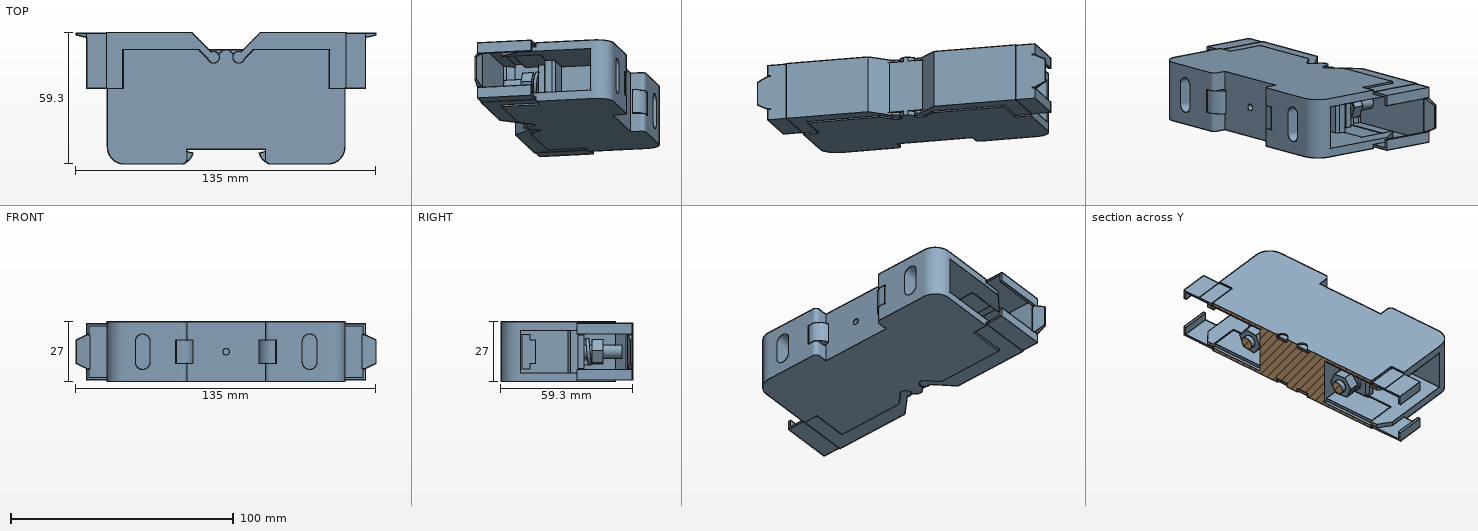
import cadquery as cq


HOUSING_HALF_LENGTH = 53.5
HOUSING_TOP = 51.5
HOUSING_WIDTH = 27.0
HOUSING_CORNER_RADIUS = 7.7

RAIL_HALF_LENGTH = 17.7
RAIL_DEPTH = 6.6
RAIL_EDGE_RADIUS = 2.0
HOOK_REACH = 2.8
HOOK_TOP = 5.7
HOOK_TIP_Y = 5.0
HOOK_NOSE = (-16.5, 2.0)
HOOK_FACE = 0.1
HOOK_WIDTH = 10.5
HOOK_WINDOW_X = -22.7
HOOK_WINDOW_DEPTH = 2.7
HOOK_GAP = 0.4

SLOT_X = -37.5
SLOT_WIDTH = 6.6
SLOT_LENGTH = 15.9
CENTRE_HOLE_DIAMETER = 3.0
CENTRE_HOLE_DEPTH = 4.0

CAVITY_END = -18.9
CAVITY_FLOOR = 8.8
CAVITY_WIDTH = 19.2
POCKET_START = -45.6
LOWER_POCKET_Y = 33.8
LOWER_POCKET_WIDTH = 20.2
UPPER_POCKET_Y = 46.7
CLIP_RECESS_DEPTH = 0.7
CLIP_BASE_Y = 9.3
CLIP_SHOULDER_Y = 13.0
CLIP_TOP_Y = 15.4
CLIP_BASE_WIDTH = 15.5

TERMINAL_X = -26.3
LEDGE_START = -33.1
LEDGE_TOP = 34.4
LEDGE_NOSE = 31.2
LEDGE_BOTTOM = 30.0
LEDGE_SLOPE_LENGTH = 1.4
PLATE_TOP = 37.3
PLATE_OVERHANG = 0.7
PLATE_WIDTH = 15.1
STUD_DIAMETER = 6.0
STUD_TOP = 54.4
WASHER_DIAMETER = 11.9
WASHER_BOTTOM = 38.5
WASHER_THICKNESS = 1.5
WASHER_TILT = 5.0
WASHER_END_LENGTH = 2.3
NUT_BOTTOM = 40.9
NUT_TOP = 45.8
NUT_ACROSS_CORNERS = 11.9
NUT_TURN = 6.0

COVER_WIDTH = 25.6
COVER_WALL = 1.2
COVER_TOP = 59.3
COVER_BOTTOM = 34.0
COVER_ROOF_INNER = 57.2
RAMP_INNER_TOP = 56.0
COVER_LEG_INNER_X = -46.6
COVER_ARM_START = -53.9
COVER_ARM_END = -15.5
COVER_RAMP_INNER_X = -12.2
BOX_START = -62.8
BOX_TOP = 58.9
BOX_WIDTH = 25.4
WINDOW_WIDTH = 15.8
HINGE_X = -5.7
HINGE_Y = 48.0
HINGE_RADIUS = 2.63

TAB_TIP_X = -67.5
TAB_ROOT_X = -62.4
TAB_END_X = -61.2
TAB_TIP_THICKNESS = 0.8
TAB_ROOT_THICKNESS = 2.0
TAB_TIP_WIDTH = 10.5
TAB_ROOT_WIDTH = 15.1

RECESS_PLANE = COVER_WIDTH / 2 - COVER_WALL
RECESS_GAP = 0.4
RECESS_RAMP_GAP = 0.3
MOUTH_EDGE_X = -1.1
MOUTH_CORNER_Y = 49.7
LEG_CHAMFER_Y = 42.3
CLEARANCE = 1.4


def box(x0, x1, y0, y1, width):
    """Block between two X and two Y values, centred on Z = 0."""
    return cq.Workplane("XY").box(x1 - x0, y1 - y0, width).translate(((x0 + x1) / 2, (y0 + y1) / 2, 0))


def prism(points, width):
    """Polygon in XY extruded symmetrically along Z."""
    return cq.Workplane("XY").polyline(points).close().extrude(width / 2, both=True)


def upright_cylinder(x, y0, y1, diameter):
    """Cylinder along Y, centred on Z = 0."""
    return cq.Workplane("XZ", origin=(x, y0, 0)).circle(diameter / 2).extrude(y0 - y1)


def mirrored(shape):
    return shape.mirror("YZ")


def cut_both(body, tool):
    return body.cut(tool).cut(mirrored(tool))


def join_both(body, addition):
    return body.union(addition).union(mirrored(addition))


def ramp_y(x, crossing_x):
    """Y on the 45-degree line that meets the housing top at crossing_x."""
    return HOUSING_TOP + crossing_x - x


RAMP_OUTER_X = COVER_ARM_END + COVER_TOP - HOUSING_TOP
RAMP_INNER_FOOT = (HINGE_X - HINGE_Y + HOUSING_TOP + COVER_RAMP_INNER_X) / 2
RAMP_OUTER_FOOT = (HINGE_X - HINGE_Y + HOUSING_TOP + RAMP_OUTER_X) / 2


def hinge_arm(gap, width):
    """Sloping arm below the housing top, ending in a round hinge knuckle."""
    inner_x = RAMP_INNER_FOOT - gap / 2
    arm = prism(
        [
            (RAMP_OUTER_X, HOUSING_TOP),
            (COVER_RAMP_INNER_X - gap, HOUSING_TOP),
            (inner_x, ramp_y(inner_x, COVER_RAMP_INNER_X - gap)),
            (RAMP_OUTER_FOOT, ramp_y(RAMP_OUTER_FOOT, RAMP_OUTER_X)),
        ],
        width,
    )
    knuckle = cq.Workplane("XY").center(HINGE_X, HINGE_Y).circle(HINGE_RADIUS).extrude(width / 2, both=True)
    return arm.union(knuckle)


def housing_block():
    block = box(-HOUSING_HALF_LENGTH, HOUSING_HALF_LENGTH, 0, HOUSING_TOP, HOUSING_WIDTH)
    block = block.edges("|Z and <Y").fillet(HOUSING_CORNER_RADIUS)
    channel = box(-RAIL_HALF_LENGTH, RAIL_HALF_LENGTH, -CLEARANCE, RAIL_DEPTH, HOUSING_WIDTH)
    channel_mouth = cq.selectors.BoxSelector(
        (-RAIL_HALF_LENGTH - CLEARANCE, -CLEARANCE, -HOUSING_WIDTH),
        (RAIL_HALF_LENGTH + CLEARANCE, CLEARANCE, HOUSING_WIDTH),
    )
    return block.cut(channel).edges("|Z").edges(channel_mouth).fillet(RAIL_EDGE_RADIUS)


def hook_window():
    """Opening in the mounting face that a hook fills, apart from a gap at its outer end."""
    return box(HOOK_WINDOW_X, -RAIL_HALF_LENGTH + CLEARANCE, -CLEARANCE, HOOK_WINDOW_DEPTH, HOOK_WIDTH)


def rail_hook():
    outer_end = HOOK_WINDOW_X + HOOK_GAP
    return (
        cq.Workplane("XY")
        .moveTo(outer_end, HOOK_TOP)
        .lineTo(-RAIL_HALF_LENGTH, HOOK_TOP)
        .lineTo(HOOK_REACH - RAIL_HALF_LENGTH, HOOK_TIP_Y)
        .threePointArc(HOOK_NOSE, (-RAIL_HALF_LENGTH - RAIL_EDGE_RADIUS, HOOK_FACE))
        .lineTo(outer_end, HOOK_FACE)
        .close()
        .extrude(HOOK_WIDTH / 2, both=True)
    )


def mounting_slot():
    return (
        cq.Workplane("XZ", origin=(SLOT_X, 0, 0))
        .slot2D(SLOT_LENGTH, SLOT_WIDTH, 90)
        .extrude(-CAVITY_FLOOR - CLEARANCE)
    )


def end_cavity():
    start = -HOUSING_HALF_LENGTH - CLEARANCE
    top = HOUSING_TOP + CLEARANCE
    cavity = box(start, CAVITY_END, CAVITY_FLOOR, top, CAVITY_WIDTH)
    lower_pocket = box(POCKET_START, CAVITY_END, LOWER_POCKET_Y, top, LOWER_POCKET_WIDTH)
    upper_pocket = box(POCKET_START, CAVITY_END, UPPER_POCKET_Y, top, 2 * RECESS_PLANE)
    recess_end = CAVITY_END + CLIP_RECESS_DEPTH
    clip_base = box(CAVITY_END, recess_end, CLIP_BASE_Y, CLIP_SHOULDER_Y, CLIP_BASE_WIDTH)
    clip_tongue = box(CAVITY_END, recess_end, CLIP_SHOULDER_Y, CLIP_TOP_Y, HOOK_WIDTH)
    return cavity.union(lower_pocket).union(upper_pocket).union(clip_base).union(clip_tongue)


def side_recess():
    """Room for one cover's walls in both sides of the housing."""
    depth_keeper = box(-HOUSING_HALF_LENGTH, 0, 0, HOUSING_TOP, 2 * RECESS_PLANE)
    tool_width = HOUSING_WIDTH + CLEARANCE
    leg = box(
        -HOUSING_HALF_LENGTH - CLEARANCE,
        COVER_LEG_INNER_X + RECESS_GAP,
        COVER_BOTTOM,
        HOUSING_TOP + CLEARANCE,
        tool_width,
    )
    mouth = prism(
        [
            (RAMP_OUTER_X, HOUSING_TOP),
            (MOUTH_EDGE_X, HOUSING_TOP),
            (HINGE_X + HINGE_RADIUS, MOUTH_CORNER_Y),
            (HINGE_X, HINGE_Y),
        ],
        tool_width,
    )
    return leg.union(hinge_arm(RECESS_RAMP_GAP, tool_width)).union(mouth).cut(depth_keeper)


def wall_corner():
    """Sloped corner removed from the end walls inside a cover."""
    return prism(
        [
            (-HOUSING_HALF_LENGTH, LEG_CHAMFER_Y),
            (-HOUSING_HALF_LENGTH, HOUSING_TOP),
            (COVER_LEG_INNER_X, HOUSING_TOP),
        ],
        HOUSING_WIDTH,
    )


def terminal():
    """Ledge across the cavity with its plate, stud, spring washer and nut."""
    ledge = prism(
        [
            (LEDGE_START, LEDGE_TOP),
            (LEDGE_START, LEDGE_NOSE),
            (LEDGE_START + LEDGE_SLOPE_LENGTH, LEDGE_BOTTOM),
            (CAVITY_END, LEDGE_BOTTOM),
            (CAVITY_END, LEDGE_TOP),
        ],
        LOWER_POCKET_WIDTH,
    )
    plate = box(LEDGE_START - PLATE_OVERHANG, CAVITY_END, LEDGE_TOP, PLATE_TOP, PLATE_WIDTH)
    stud = upright_cylinder(TERMINAL_X, PLATE_TOP, STUD_TOP, STUD_DIAMETER)
    washer_middle_y = WASHER_BOTTOM + WASHER_THICKNESS / 2
    washer = upright_cylinder(TERMINAL_X, WASHER_BOTTOM, WASHER_BOTTOM + WASHER_THICKNESS, WASHER_DIAMETER)
    washer = washer.rotate((0, washer_middle_y, 0), (1, washer_middle_y, 0), WASHER_TILT)
    washer_end = box(
        TERMINAL_X - WASHER_END_LENGTH / 2,
        TERMINAL_X + WASHER_END_LENGTH / 2,
        PLATE_TOP,
        washer_middle_y,
        WASHER_END_LENGTH,
    ).translate((0, 0, (WASHER_END_LENGTH - WASHER_DIAMETER) / 2))
    nut = (
        cq.Workplane("XZ", origin=(TERMINAL_X, NUT_BOTTOM, 0))
        .polygon(6, NUT_ACROSS_CORNERS)
        .extrude(NUT_BOTTOM - NUT_TOP)
        .rotate((TERMINAL_X, 0, 0), (TERMINAL_X, 1, 0), NUT_TURN)
    )
    return ledge.union(plate).union(stud).union(washer).union(washer_end).union(nut)


def make_housing():
    body = housing_block()
    for tool in (hook_window(), mounting_slot(), end_cavity(), side_recess(), wall_corner()):
        body = cut_both(body, tool)
    for addition in (rail_hook(), terminal()):
        body = join_both(body, addition)
    return body.cut(upright_cylinder(0, 0, RAIL_DEPTH + CENTRE_HOLE_DEPTH, CENTRE_HOLE_DIAMETER))


def pull_tab():
    """Tapered tab at the open end of the cover, flush with the box top."""
    profile = prism(
        [
            (TAB_TIP_X, BOX_TOP),
            (TAB_TIP_X, BOX_TOP - TAB_TIP_THICKNESS),
            (TAB_ROOT_X, BOX_TOP - TAB_ROOT_THICKNESS),
            (TAB_END_X, BOX_TOP - TAB_ROOT_THICKNESS),
            (TAB_END_X, BOX_TOP),
        ],
        TAB_ROOT_WIDTH,
    )
    outline = (
        cq.Workplane("XZ")
        .polyline(
            [
                (TAB_TIP_X, TAB_TIP_WIDTH / 2),
                (BOX_START, TAB_ROOT_WIDTH / 2),
                (TAB_END_X, TAB_ROOT_WIDTH / 2),
                (TAB_END_X, -TAB_ROOT_WIDTH / 2),
                (BOX_START, -TAB_ROOT_WIDTH / 2),
                (TAB_TIP_X, -TAB_TIP_WIDTH / 2),
            ]
        )
        .close()
        .extrude(-COVER_TOP)
    )
    return profile.intersect(outline)


def make_left_cover():
    end_box = box(BOX_START, COVER_ARM_START, COVER_BOTTOM, BOX_TOP, BOX_WIDTH)
    leg = box(COVER_ARM_START, COVER_LEG_INNER_X, COVER_BOTTOM, COVER_TOP, COVER_WIDTH)
    arm = prism(
        [
            (COVER_ARM_START, HOUSING_TOP),
            (COVER_ARM_START, COVER_TOP),
            (COVER_ARM_END, COVER_TOP),
            (RAMP_OUTER_X, HOUSING_TOP),
        ],
        COVER_WIDTH,
    )
    inside_start = BOX_START + COVER_WALL
    ramp_inner_start = COVER_RAMP_INNER_X + HOUSING_TOP - RAMP_INNER_TOP
    hollow = prism(
        [
            (inside_start, 0),
            (inside_start, COVER_ROOF_INNER),
            (ramp_inner_start, COVER_ROOF_INNER),
            (ramp_inner_start, RAMP_INNER_TOP),
            (COVER_RAMP_INNER_X, HOUSING_TOP),
            (COVER_RAMP_INNER_X, 0),
        ],
        2 * RECESS_PLANE,
    )
    window = box(BOX_START, inside_start, COVER_BOTTOM, BOX_TOP, WINDOW_WIDTH)
    between_hinge_plates = box(COVER_LEG_INNER_X, 0, 0, HOUSING_TOP, 2 * RECESS_PLANE)
    hinge = hinge_arm(0, COVER_WIDTH).cut(between_hinge_plates)
    shell = end_box.union(leg).union(arm).cut(hollow).cut(window)
    return shell.union(hinge).union(pull_tab())


housing = make_housing()
left_cover = make_left_cover()
covers = [left_cover, mirrored(left_cover)]

result = cq.Compound.makeCompound([housing.solids().val(), *[cover.solids().val() for cover in covers]])